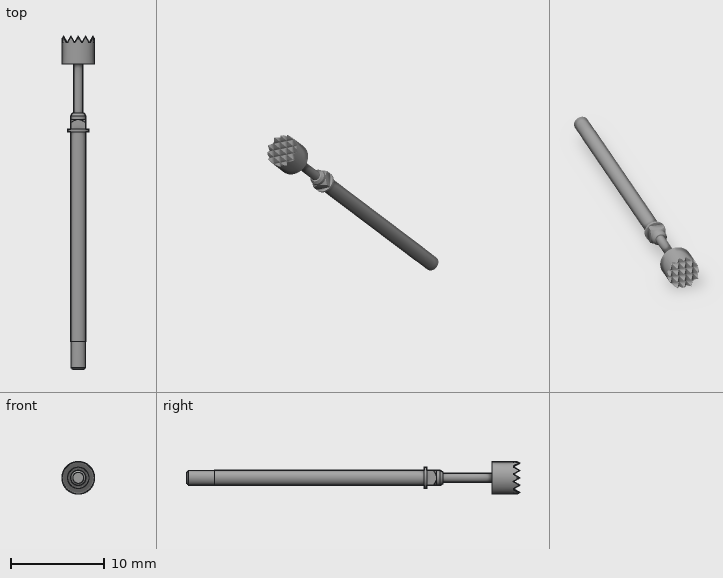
import cadquery as cq
import math

total_length = 35.8
head_end_y = total_length / 2

head_diameter = 3.5
head_length = 3.0
tooth_pitch = 0.8
groove_angle = 60.0
groove_depth = tooth_pitch / 2 / math.tan(math.radians(groove_angle / 2))
grooves_per_direction = 6

plunger_diameter = 1.0

collar_diameter = 1.65
collar_start = 8.25
collar_nose_diameter = 1.25
collar_taper_length = 0.32
neck_start = 8.95
neck_width = collar_diameter
neck_corner_angle = 45.0

flange_diameter = 2.3
flange_start = 10.0
flange_thickness = 0.3
barrel_diameter = 1.65

tail_diameter = 1.6
tail_length = 3.0
tail_chamfer = 0.2


def rod(diameter, start, length):
    """Cylinder along Y that begins `start` behind the head end and runs toward the tail."""
    plane = cq.Workplane("XZ", origin=(0, head_end_y - start, 0))
    return plane.circle(diameter / 2).extrude(length)


def revolve_about_y(outline):
    """Full turn of a closed (radius, y) outline about the pin axis."""
    return cq.Workplane("XY").polyline(outline).close().revolve(360, (0, 0, 0), (0, 1, 0))


def make_head():
    """Cylinder whose end is cut by crossing V grooves into a grid of pyramids."""
    head = rod(head_diameter, 0, head_length)
    groove_outline = [
        (-tooth_pitch / 2, head_end_y),
        (0, head_end_y - groove_depth),
        (tooth_pitch / 2, head_end_y),
    ]
    groove = cq.Workplane("XY").polyline(groove_outline).close().extrude(head_diameter, both=True)
    for index in range(grooves_per_direction):
        offset = (index - (grooves_per_direction - 1) / 2) * tooth_pitch
        shifted_groove = groove.translate((offset, 0, 0))
        head = head.cut(shifted_groove)
        head = head.cut(shifted_groove.rotate((0, 0, 0), (0, 1, 0), 90))
    return head


def make_collar():
    """Round collar with a tapered lead-in on the head side."""
    start_y = head_end_y - collar_start
    end_y = head_end_y - neck_start
    outline = [
        (0, start_y),
        (collar_nose_diameter / 2, start_y),
        (collar_diameter / 2, start_y - collar_taper_length),
        (collar_diameter / 2, end_y),
        (0, end_y),
    ]
    return revolve_about_y(outline)


def make_neck():
    """Square neck whose corners are turned down by a cone next to the collar."""
    neck_length = flange_start - neck_start
    front_y = head_end_y - neck_start
    back_y = front_y - neck_length
    inner_radius = collar_diameter / 2
    outer_radius = flange_diameter / 2
    cone_length = (outer_radius - inner_radius) * math.tan(math.radians(neck_corner_angle))
    square = cq.Workplane("XZ", origin=(0, front_y, 0)).rect(neck_width, neck_width).extrude(neck_length)
    turned_outline = [
        (0, front_y),
        (inner_radius, front_y),
        (outer_radius, front_y - cone_length),
        (outer_radius, back_y),
        (0, back_y),
    ]
    return square.intersect(revolve_about_y(turned_outline))


def make_tail():
    """Slightly thinner tail section with a chamfered end."""
    tail = rod(tail_diameter, total_length - tail_length, tail_length)
    return tail.faces("<Y").chamfer(tail_chamfer)


barrel_start = flange_start + flange_thickness
plunger = rod(plunger_diameter, head_length, collar_start - head_length)
flange = rod(flange_diameter, flange_start, flange_thickness)
barrel = rod(barrel_diameter, barrel_start, total_length - tail_length - barrel_start)

result = make_head()
for section in (plunger, make_collar(), make_neck(), flange, barrel, make_tail()):
    result = result.union(section)